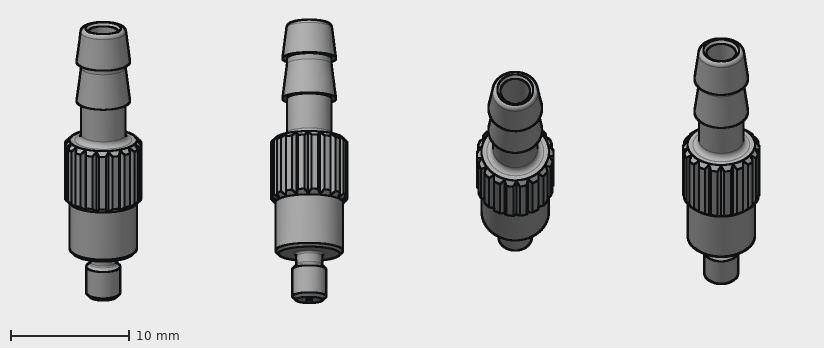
import cadquery as cq
import math

total_height = 24.0
body_bottom = 4.0
knurl_bottom = 8.5
knurl_top = 14.0
barb_length = 3.0
barb_gap = 0.5
upper_barb_base = total_height - barb_length
lower_barb_top = upper_barb_base - barb_gap
lower_barb_base = lower_barb_top - barb_length

pin_radius = 2.88 / 2
neck_radius = 2.2 / 2
body_radius = 5.7 / 2
knurl_radius = 6.5 / 2
stem_radius = 3.8 / 2
barb_radius = 4.55 / 2

pin_chamfer = 0.3
pin_shoulder_height = 2.66
body_chamfer = 0.26
knurl_chamfer = knurl_radius - body_radius
neck_fillet = 0.2
stem_fillet = 0.5
mouth_fillet = 0.38

groove_count = 18
groove_depth = 0.34
groove_half_width = 0.3

bore_radius = 2.5 / 2
middle_bore_radius = 1.4 / 2
outlet_radius = 0.5 / 2
mouth_chamfer = 0.26
bore_cone_top = 8.88
middle_cone_top = 4.32
drill_point_angle = 118.0
cone_half_angle = math.radians(drill_point_angle / 2)


def revolve_profile(points):
    """Turn (radius, height) points around the Z axis."""
    profile = cq.Workplane("XZ").polyline(points).close()
    return profile.revolve(360, (0, 0, 0), (0, 1, 0))


def round_edge(solid, radius, height, fillet_radius):
    """Fillet the circular edge with the given radius and height."""
    tolerance = 0.0002

    def matches(edge):
        same_radius = abs(edge.radius() - radius) < tolerance
        same_height = abs(edge.Center().z - height) < tolerance
        return same_radius and same_height

    return solid.edges("%CIRCLE").filter(matches).fillet(fillet_radius)


def make_outside():
    neck_bottom = pin_shoulder_height + pin_radius - neck_radius
    solid = revolve_profile([
        (0, 0),
        (pin_radius - pin_chamfer, 0),
        (pin_radius, pin_chamfer),
        (pin_radius, pin_shoulder_height),
        (neck_radius, neck_bottom),
        (neck_radius, body_bottom),
        (body_radius - body_chamfer, body_bottom),
        (body_radius, body_bottom + body_chamfer),
        (body_radius, knurl_bottom),
        (knurl_radius, knurl_bottom + knurl_chamfer),
        (knurl_radius, knurl_top - knurl_chamfer),
        (knurl_radius - knurl_chamfer, knurl_top),
        (stem_radius, knurl_top),
        (stem_radius, lower_barb_base),
        (barb_radius, lower_barb_base),
        (stem_radius, lower_barb_top),
        (stem_radius, upper_barb_base),
        (barb_radius, upper_barb_base),
        (stem_radius, total_height),
        (0, total_height),
    ])
    solid = round_edge(solid, neck_radius, neck_bottom, neck_fillet)
    solid = round_edge(solid, neck_radius, body_bottom, neck_fillet)
    solid = round_edge(solid, stem_radius, knurl_top, stem_fillet)
    return round_edge(solid, stem_radius, total_height, mouth_fillet)


def make_grooves():
    """V cutters around the knurl, the first one facing +Y."""
    root = knurl_radius - groove_depth
    cutter_depth = 2 * groove_depth
    cutter_half_width = 2 * groove_half_width
    cutter = (
        cq.Workplane("XY")
        .workplane(offset=knurl_bottom)
        .polyline([
            (0, root),
            (cutter_half_width, root + cutter_depth),
            (-cutter_half_width, root + cutter_depth),
        ])
        .close()
        .extrude(knurl_top - knurl_bottom)
    )
    grooves = cq.Workplane("XY")
    for index in range(groove_count):
        angle = index * 360 / groove_count
        grooves = grooves.add(cutter.rotate((0, 0, 0), (0, 0, 1), angle))
    return grooves.combine()


def make_bore():
    bore_cone_height = (bore_radius - middle_bore_radius) / math.tan(cone_half_angle)
    middle_cone_height = (middle_bore_radius - outlet_radius) / math.tan(cone_half_angle)
    return revolve_profile([
        (0, 0),
        (outlet_radius, 0),
        (outlet_radius, middle_cone_top - middle_cone_height),
        (middle_bore_radius, middle_cone_top),
        (middle_bore_radius, bore_cone_top - bore_cone_height),
        (bore_radius, bore_cone_top),
        (bore_radius, total_height - mouth_chamfer),
        (bore_radius + mouth_chamfer, total_height),
        (0, total_height),
    ])


result = make_outside().cut(make_grooves()).cut(make_bore())